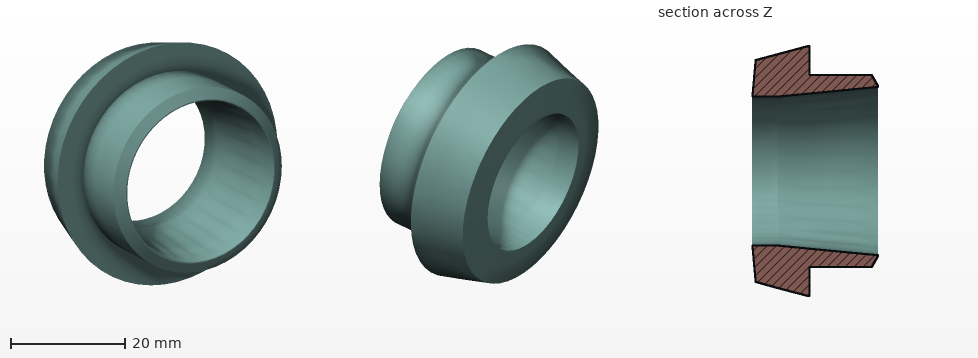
import cadquery as cq

length = 22.0

flange_radius = 22.0
rim_front_radius = 19.45
rim_front_x = 0.55
flange_back_x = 10.05

spigot_radius = 33.7 / 2
chamfer_length = 1.1
chamfer_height = 1.95

throat_radius = 26.0 / 2
mouth_ring_width = 0.5
mouth_radius = throat_radius + mouth_ring_width
throat_end_x = 4.45
rear_bore_radius = 14.7

half_section = (
    cq.Workplane("XY")
    .moveTo(0, mouth_radius)
    .lineTo(rim_front_x, rim_front_radius)
    .lineTo(flange_back_x, flange_radius)
    .lineTo(flange_back_x, spigot_radius)
    .lineTo(length - chamfer_length, spigot_radius)
    .lineTo(length, spigot_radius - chamfer_height)
    .lineTo(length, rear_bore_radius)
    .lineTo(throat_end_x, throat_radius)
    .lineTo(0, throat_radius)
    .close()
)

result = half_section.revolve(360, (0, 0, 0), (1, 0, 0))